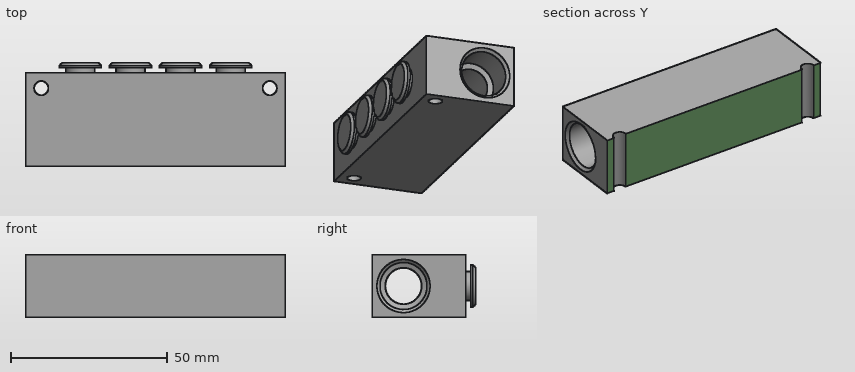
import cadquery as cq
import math

length = 83.0
depth = 30.0
height = 20.0
mid_height = height / 2

bore_diameter = 11.5
port_diameter = 15.0
port_mouth_diameter = 17.0
port_depth = 12.0
drill_tip_angle = 136.0
bore_from_front = mid_height

mount_diameter = 4.5
mount_inset = 5.0

collet_count = 4
collet_pitch = 16.0
collet_reach = 3.15
neck_diameter = 9.4
neck_length = 1.5
flange_diameter = 13.5
flange_top_diameter = 11.7


def make_block():
    return cq.Workplane("XY").box(length, depth, height, centered=False)


def make_bore():
    """Solid of the through bore with countersunk, cone-bottomed ports at both ends."""
    bore_radius = bore_diameter / 2
    port_radius = port_diameter / 2
    mouth_radius = port_mouth_diameter / 2
    mouth_depth = mouth_radius - port_radius
    tip_depth = (port_radius - bore_radius) / math.tan(math.radians(drill_tip_angle / 2))
    half_profile = (
        cq.Workplane("XY")
        .moveTo(0, 0)
        .lineTo(0, mouth_radius)
        .lineTo(mouth_depth, port_radius)
        .lineTo(port_depth, port_radius)
        .lineTo(port_depth + tip_depth, bore_radius)
        .lineTo(length / 2, bore_radius)
        .lineTo(length / 2, 0)
        .close()
    )
    half_bore = half_profile.revolve(360, (0, 0, 0), (1, 0, 0))
    far_half = half_bore.mirror("YZ", (length / 2, 0, 0))
    return half_bore.union(far_half).translate((0, bore_from_front, mid_height))


def make_mount_holes():
    centers = [(x, depth - mount_inset) for x in (mount_inset, length - mount_inset)]
    return cq.Workplane("XY").pushPoints(centers).circle(mount_diameter / 2).extrude(height)


def make_collet():
    """Collet turned about Y: neck, then a flange with a 45 degree outer chamfer."""
    flange_radius = flange_diameter / 2
    flange_top_radius = flange_top_diameter / 2
    chamfer = flange_radius - flange_top_radius
    profile = (
        cq.Workplane("XY")
        .moveTo(0, 0)
        .lineTo(neck_diameter / 2, 0)
        .lineTo(neck_diameter / 2, neck_length)
        .lineTo(flange_radius, neck_length)
        .lineTo(flange_radius, collet_reach - chamfer)
        .lineTo(flange_top_radius, collet_reach)
        .lineTo(0, collet_reach)
        .close()
    )
    return profile.revolve(360, (0, 0, 0), (0, 1, 0))


result = make_block().cut(make_bore()).cut(make_mount_holes())

collet = make_collet()
first_collet_x = length / 2 - collet_pitch * (collet_count - 1) / 2
for index in range(collet_count):
    collet_x = first_collet_x + index * collet_pitch
    result = result.union(collet.translate((collet_x, depth, mid_height)))